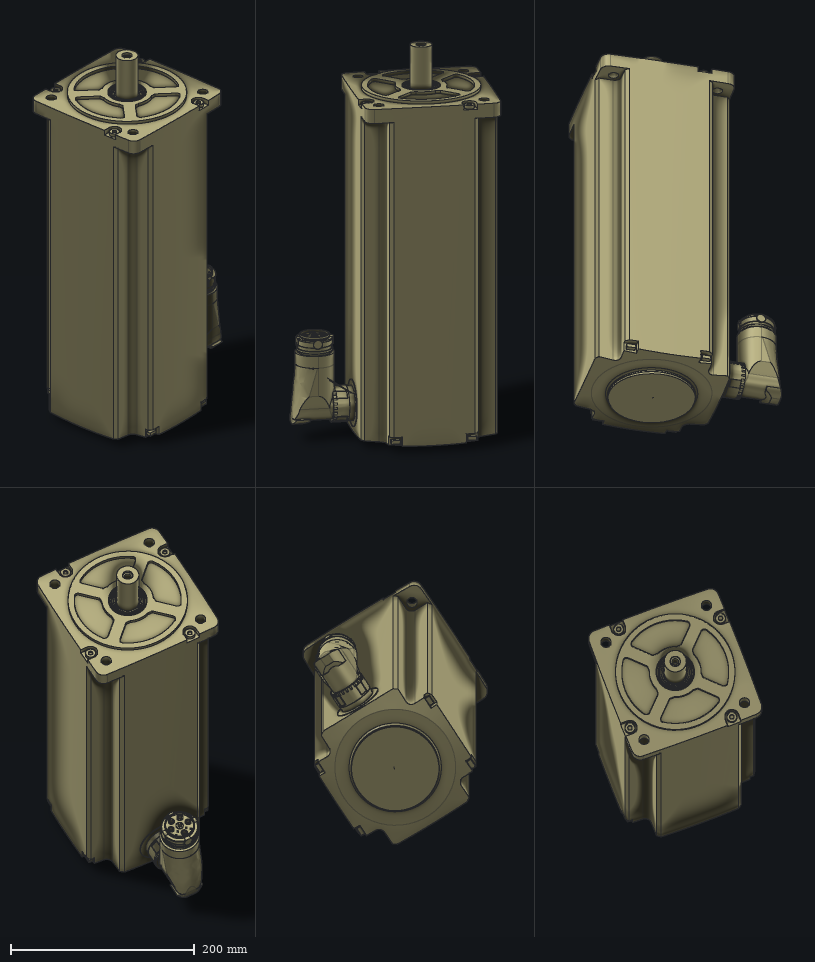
import cadquery as cq
import math


quarter_turns = [0, 90, 180, 270]

total_height = 440.5
motor_width = 152.0
depth_with_connector = 220.0
flange_top = 391.0
flange_thickness = 16.0
flange_bottom = flange_top - flange_thickness

side_middle = motor_width / 2
side_end = 75.0
corner_radius = 9.3
cut_margin = 4.5

channel_face = 49.5
channel_fillet = 7.0
lip_depth = 3.5
lip_width = 5.0

rear_boss_radius = 48.0
rear_boss_height = 4.5
rear_foot_radius = 47.5
rear_foot_height = 2.5
rear_cone_radius = 50.0
rear_cone_top = 6.0
rear_disc_radius = 65.5
rear_disc_top = 6.5
rear_slope_rise = 5.7
corner_reach = 105.5

pocket_offset = 42.5
pocket_width = 14.0
pocket_floor = 68.3
pocket_top = 19.5
clip_height = 4.0
clip_width = 9.5
clip_bottom = 11.5
clip_depth = 5.5

pilot_diameter = 130.0
pilot_height = 3.5
pilot_top = flange_top + pilot_height
recess_outer_radius = 58.0
recess_depth = 3.5
hub_radius = 28.0
hub_flat = 26.0
web_width = 13.5
recess_corner_radius = 4.0
mount_pitch = 116.7
mount_hole_diameter = 11.0

screw_along = 40.0
screw_out = 68.0
notch_width = 15.5
notch_depth = 5.7
screw_head_diameter = 11.0
screw_head_height = 4.0
screw_socket_diameter = 5.0
screw_socket_depth = 2.0

shaft_diameter = 24.2
shaft_bore_diameter = 11.0
shaft_bore_depth = 2.5
tap_diameter = 7.0
tap_depth = 20.0
seal_seat_diameter = 42.0
seal_bore_diameter = 40.0
seal_step = 1.5
seal_depth = 4.0
seal_rings = [(37.0, 34.5), (31.0, 27.5)]
seal_ring_height = 2.0

connector_z = 39.5
plug_y = 118.0
pad_diameter = 52.0
pad_face = 76.5
base_diameter = 38.8
base_end = 83.0
nut_diameter = 40.0
nut_end = 96.5
nut_collar = 1.8
nut_relief_width = 9.0
nut_relief_radius = 18.5
knurl_diameter = 40.0
knurl_end = 100.5
knurl_count = 24
knurl_groove_diameter = 2.0
elbow_radius = 21.5
elbow_top = 100.0
elbow_taper_top = 86.8
elbow_back = depth_with_connector - motor_width / 2
lower_flat_length = 19.5
upper_flat_length = 1.0
lower_back_y = 145.0
neck_radius = 16.7
shoulder_z = 55.0
foot_bottom = 20.3
foot_top = 27.5
foot_front = 125.5
foot_flat_front = 133.5
foot_front_bottom = 24.2
foot_diameter = 40.0
ring_groove_radius = 18.5
ring_radius = 20.0
ring_bottom = 102.0
ring_lower_rib_top = 105.0
ring_upper_bottom = 109.0
ring_band_radius = 19.5
ring_band_top = 115.0
ring_top = 116.7
ring_pad_diameter = 10.0
ring_pad_reach = 20.3
ring_pad_count = 4
rim_top = 120.3
rim_diameter = 32.5
rim_bore_diameter = 31.0
rim_bore_depth = 2.5
contact_circle_radius = 10.5
contact_angles = [0, 90, 180, 240, 300]
contact_sleeve_diameter = 6.5
contact_sleeve_height = 1.5
contact_hole_diameter = 3.6
contact_hole_depth = 6.5
key_diameter = 8.0
key_bore_diameter = 4.0
signal_circle_radii = [7.5, 12.8]
signal_angles = [45, 135]
signal_hole_diameter = 2.0


def cylinder(diameter, bottom, height, x=0.0, y=0.0):
    """Upright cylinder standing at height `bottom`."""
    return cq.Workplane("XY", origin=(x, y, bottom)).circle(diameter / 2).extrude(height)


def y_cylinder(diameter, start, end):
    """Cylinder on the connector's horizontal axis, running from Y = start to end."""
    plane = cq.Plane(origin=(0, start, connector_z), xDir=(1, 0, 0), normal=(0, 1, 0))
    return cq.Workplane(plane).circle(diameter / 2).extrude(end - start)


def box(x_min, x_max, y_min, y_max, z_min, z_max):
    """Block between the given limits along each axis."""
    return cq.Workplane("XY").box(
        x_max - x_min, y_max - y_min, z_max - z_min, centered=False
    ).translate((x_min, y_min, z_min))


def around_axis(shape, angles, y=0.0):
    """One copy of `shape` per angle, turned about a vertical axis, joined together."""
    copies = [shape.rotate((0, y, 0), (0, y, 1), angle) for angle in angles]
    joined = copies[0]
    for copy in copies[1:]:
        joined = joined.union(copy)
    return joined


def motor_block():
    """Square block with slightly bulging sides and rounded corners."""
    return (
        cq.Workplane("XY")
        .moveTo(-side_end, -side_end)
        .threePointArc((0, -side_middle), (side_end, -side_end))
        .threePointArc((side_middle, 0), (side_end, side_end))
        .threePointArc((0, side_middle), (-side_end, side_end))
        .threePointArc((-side_middle, 0), (-side_end, -side_end))
        .close()
        .extrude(flange_top)
        .edges("|Z").fillet(corner_radius)
    )


def corner_channels():
    """Filleted channels along the corners, ending under the flange."""
    outside = side_middle + cut_margin
    lip = side_middle - lip_depth
    panel_end = channel_face - lip_width
    channel = (
        cq.Workplane("XY")
        .moveTo(channel_face, channel_face)
        .lineTo(channel_face, lip)
        .lineTo(panel_end, side_middle)
        .lineTo(panel_end, outside)
        .lineTo(outside, outside)
        .lineTo(outside, panel_end)
        .lineTo(side_middle, panel_end)
        .lineTo(lip, channel_face)
        .close()
        .extrude(flange_bottom)
    )
    inner_edge = cq.selectors.NearestToPointSelector((channel_face, channel_face, flange_bottom / 2))
    channel = channel.edges("|Z").edges(inner_edge).fillet(channel_fillet)
    return around_axis(channel, quarter_turns)


def rear_limit():
    """Turned envelope that gives the rear end its boss, disc and shallow cone."""
    return (
        cq.Workplane("XZ")
        .moveTo(0, 0)
        .lineTo(rear_foot_radius, 0)
        .lineTo(rear_foot_radius, rear_foot_height)
        .lineTo(rear_boss_radius, rear_foot_height)
        .lineTo(rear_boss_radius, rear_boss_height)
        .lineTo(rear_cone_radius, rear_cone_top)
        .lineTo(rear_disc_radius, rear_disc_top)
        .lineTo(corner_reach, rear_disc_top + rear_slope_rise)
        .lineTo(corner_reach, flange_top)
        .lineTo(0, flange_top)
        .close()
        .revolve(360, (0, 0, 0), (0, 1, 0))
    )


def add_clip_pockets(body):
    """Open pockets at the rear of the two X sides, each holding a small clip."""
    outside = side_middle + cut_margin
    for side in (-1, 1):
        for y in (-pocket_offset, pocket_offset):
            pocket = box(pocket_floor, outside, y - pocket_width / 2, y + pocket_width / 2,
                         0, pocket_top)
            clip = box(pocket_floor, pocket_floor + clip_depth, y - clip_width / 2,
                       y + clip_width / 2, clip_bottom, clip_bottom + clip_height)
            if side < 0:
                pocket = pocket.mirror("YZ")
                clip = clip.mirror("YZ")
            body = body.cut(pocket).union(clip)
    return body


def pilot_recesses():
    """Four sector pockets in the pilot, leaving a diagonal cross and a round hub."""
    floor = pilot_top - recess_depth
    half_web = web_width / 2 * math.sqrt(2)
    reach = recess_outer_radius + half_web
    sector = (
        cq.Workplane("XY", origin=(0, 0, floor))
        .moveTo(hub_flat - half_web, hub_flat)
        .lineTo(reach - half_web, reach)
        .lineTo(half_web - reach, reach)
        .lineTo(half_web - hub_flat, hub_flat)
        .close()
        .extrude(recess_depth)
        .intersect(cylinder(2 * recess_outer_radius, floor, recess_depth))
    )
    outer_corners = cq.selectors.BoxSelector(
        (-reach, hub_flat + cut_margin, floor - cut_margin), (reach, reach, pilot_top + cut_margin))
    sector = sector.edges("|Z").edges(outer_corners).fillet(recess_corner_radius)
    sector = sector.cut(cylinder(2 * hub_radius, floor, recess_depth))
    return around_axis(sector, quarter_turns)


def add_housing_screws(body):
    """Screws sunk in U-shaped notches, one near the edge of each flange side."""
    floor = flange_top - notch_depth
    notch = cylinder(notch_width, floor, notch_depth, screw_out, screw_along).union(
        box(screw_out, side_middle + cut_margin, screw_along - notch_width / 2,
            screw_along + notch_width / 2, floor, flange_top))
    head_top = floor + screw_head_height
    head = cylinder(screw_head_diameter, floor, screw_head_height, screw_out, screw_along).cut(
        cylinder(screw_socket_diameter, head_top - screw_socket_depth, screw_socket_depth,
                 screw_out, screw_along))
    return body.cut(around_axis(notch, quarter_turns)).union(around_axis(head, quarter_turns))


def add_seal(body):
    """Stepped seat around the shaft with the raised rings of the seal."""
    floor = pilot_top - seal_depth
    body = body.cut(cylinder(seal_seat_diameter, pilot_top - seal_step, seal_step))
    body = body.cut(cylinder(seal_bore_diameter, floor, seal_depth))
    for outer, inner in seal_rings:
        ring = cylinder(outer, floor, seal_ring_height).cut(
            cylinder(inner, floor, seal_ring_height))
        body = body.union(ring)
    return body


def add_shaft(body):
    """Shaft with a centred, counterbored tapped hole in its end."""
    base = flange_bottom
    shaft = cylinder(shaft_diameter, base, total_height - base)
    shaft = shaft.cut(cylinder(shaft_bore_diameter, total_height - shaft_bore_depth, shaft_bore_depth))
    shaft = shaft.cut(cylinder(tap_diameter, total_height - tap_depth, tap_depth))
    return body.union(shaft)


def make_motor():
    body = motor_block().cut(corner_channels()).intersect(rear_limit())
    body = add_clip_pockets(body)
    body = body.union(y_cylinder(pad_diameter, channel_face, pad_face))
    body = body.union(cylinder(pilot_diameter, flange_top, pilot_height))
    body = body.cut(pilot_recesses())
    holes = (
        cq.Workplane("XY", origin=(0, 0, flange_bottom))
        .rect(mount_pitch, mount_pitch, forConstruction=True)
        .vertices()
        .circle(mount_hole_diameter / 2)
        .extrude(flange_thickness)
    )
    body = add_housing_screws(body.cut(holes))
    return add_shaft(add_seal(body))


def connector_nut():
    """Base collar, union nut with four reliefs, and a knurled ring."""
    nut = y_cylinder(nut_diameter, base_end, nut_end)
    relief = box(nut_relief_radius, nut_diameter, base_end + nut_collar, nut_end,
                 connector_z - nut_relief_width / 2, connector_z + nut_relief_width / 2)
    knurl = y_cylinder(knurl_diameter, nut_end, knurl_end)
    groove = y_cylinder(knurl_groove_diameter, nut_end, knurl_end).translate(
        (knurl_diameter / 2, 0, 0))
    axis_start = (0, 0, connector_z)
    axis_end = (0, 1, connector_z)
    for quarter in quarter_turns:
        nut = nut.cut(relief.rotate(axis_start, axis_end, 45 + quarter))
    for index in range(knurl_count):
        knurl = knurl.cut(groove.rotate(axis_start, axis_end, index * 360 / knurl_count))
    return y_cylinder(base_diameter, pad_face, base_end).union(nut).union(knurl)


def elbow_outline(height, flat_length, back_y):
    """Level outline: round front, two parallel flat sides and an arched back."""
    side_end_y = plug_y + flat_length
    return (
        cq.Workplane("XY", origin=(0, 0, height))
        .moveTo(-elbow_radius, plug_y)
        .threePointArc((0, plug_y - elbow_radius), (elbow_radius, plug_y))
        .lineTo(elbow_radius, side_end_y)
        .threePointArc((0, back_y), (-elbow_radius, side_end_y))
        .close()
        .val()
    )


def elbow_housing():
    """Round housing with a sloping back, narrowed below its shoulder to a rounded underside."""
    bottom = connector_z - neck_radius
    lower_outline = elbow_outline(bottom, lower_flat_length, lower_back_y)
    upper_outline = elbow_outline(elbow_taper_top, upper_flat_length, plug_y + elbow_radius)
    tapered = cq.Workplane(cq.Solid.makeLoft([lower_outline, upper_outline], True))
    housing = tapered.union(
        cylinder(2 * elbow_radius, elbow_taper_top, elbow_top - elbow_taper_top, y=plug_y))
    front_shape = (
        cq.Workplane("XZ", origin=(0, elbow_back, 0))
        .moveTo(-elbow_radius, elbow_top)
        .lineTo(-elbow_radius, shoulder_z)
        .lineTo(-neck_radius, connector_z)
        .threePointArc((0, bottom), (neck_radius, connector_z))
        .lineTo(elbow_radius, shoulder_z)
        .lineTo(elbow_radius, elbow_top)
        .close()
        .extrude(elbow_back - nut_end)
    )
    neck = y_cylinder(2 * neck_radius, nut_end, plug_y)
    return housing.intersect(front_shape).union(neck)


def elbow_foot():
    """Heel under the rear end of the elbow, with a rounded underside."""
    side_shape = (
        cq.Workplane("YZ", origin=(-elbow_radius, 0, 0))
        .moveTo(foot_front, foot_top)
        .lineTo(foot_front, foot_front_bottom)
        .lineTo(foot_flat_front, foot_bottom)
        .lineTo(elbow_back, foot_bottom)
        .lineTo(elbow_back, foot_top)
        .close()
        .extrude(2 * elbow_radius)
    )
    outline = elbow_outline(foot_bottom, lower_flat_length, lower_back_y)
    plan_shape = cq.Workplane(outline).toPending().extrude(foot_top - foot_bottom)
    return side_shape.intersect(plan_shape).intersect(
        y_cylinder(foot_diameter, foot_front, elbow_back))


def plug_ring():
    """Grooved coupling ring with round grip pads, and the rim above it."""
    sections = [
        (ring_groove_radius, elbow_top, ring_top),
        (ring_radius, ring_bottom, ring_lower_rib_top),
        (ring_band_radius, ring_upper_bottom, ring_band_top),
        (ring_radius, ring_band_top, ring_top),
        (rim_diameter / 2, ring_top, rim_top),
    ]
    ring = cq.Workplane("XY")
    for radius, bottom, top in sections:
        ring = ring.union(cylinder(2 * radius, bottom, top - bottom, y=plug_y))
    pad = (
        cq.Workplane("YZ", origin=(0, plug_y, (ring_upper_bottom + ring_top) / 2))
        .circle(ring_pad_diameter / 2)
        .extrude(ring_pad_reach)
    )
    pads = around_axis(pad, [i * 360 / ring_pad_count for i in range(ring_pad_count)], y=plug_y)
    return ring.union(pads)


def on_plug(radius, angle):
    """X, Y of a point on a circle about the plug axis."""
    turn = math.radians(angle)
    return radius * math.cos(turn), plug_y + radius * math.sin(turn)


def add_contacts(plug):
    """Recessed face with sleeved contacts, signal holes and a central key."""
    face = rim_top - rim_bore_depth
    plug = plug.cut(cylinder(rim_bore_diameter, face, rim_bore_depth, y=plug_y))
    for angle in contact_angles:
        x, y = on_plug(contact_circle_radius, angle)
        plug = plug.union(cylinder(contact_sleeve_diameter, face, contact_sleeve_height, x, y))
        plug = plug.cut(cylinder(contact_hole_diameter, face - contact_hole_depth,
                                 contact_hole_depth + contact_sleeve_height, x, y))
    for radius in signal_circle_radii:
        for angle in signal_angles:
            x, y = on_plug(radius, angle)
            plug = plug.cut(cylinder(signal_hole_diameter, face - contact_hole_depth,
                                     contact_hole_depth, x, y))
    plug = plug.union(cylinder(key_diameter, face, contact_sleeve_height, y=plug_y))
    return plug.cut(cylinder(key_bore_diameter, face - contact_hole_depth,
                             contact_hole_depth + contact_sleeve_height, y=plug_y))


def make_connector():
    body = connector_nut().union(elbow_housing()).union(elbow_foot()).union(plug_ring())
    return add_contacts(body)


motor = make_motor()
connector = make_connector()
result = cq.Compound.makeCompound([motor.val(), connector.val()])